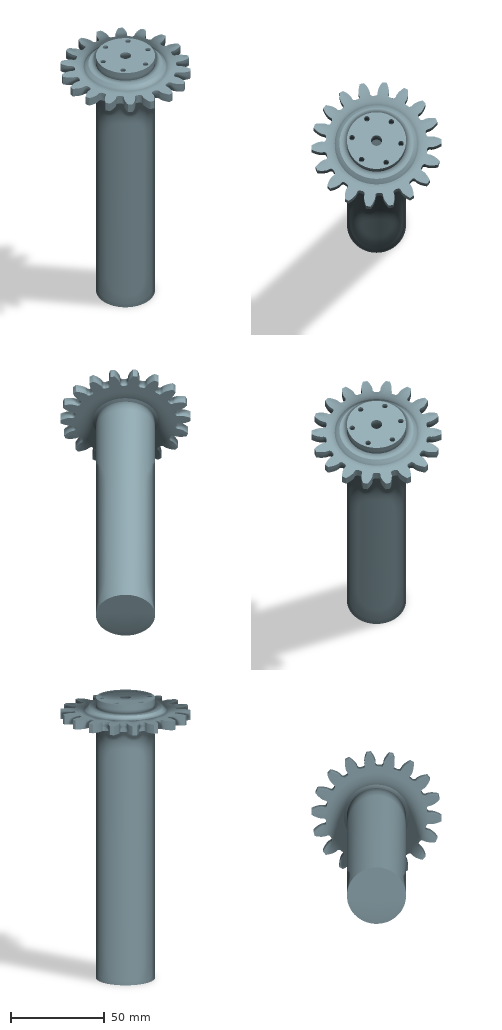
import cadquery as cq
import math

total_height = 156.0
shaft_diameter = 31.8

hub_height = 5.0
cone_height = 2.0
gear_thickness = 5.0
collar_height = 1.0
cone_top_diameter = 40.0
cone_base_diameter = 45.0
collar_top_diameter = 35.3

cone_top_z = total_height - hub_height
gear_top_z = cone_top_z - cone_height
gear_bottom_z = gear_top_z - gear_thickness
collar_bottom_z = gear_bottom_z - collar_height

tooth_count = 18
tip_diameter = 70.0
pressure_angle = math.radians(20)
dedendum_factor = 1.2
root_fillet_radius = 1.4
flank_point_count = 8

gear_module = tip_diameter / (tooth_count + 2)
tip_radius = tip_diameter / 2
pitch_radius = gear_module * tooth_count / 2
base_radius = pitch_radius * math.cos(pressure_angle)
root_radius = pitch_radius - dedendum_factor * gear_module
tooth_pitch_angle = 2 * math.pi / tooth_count

center_hole_diameter = 6.0
hole_depth = 7.8
bolt_hole_diameter = 3.0
bolt_circle_diameter = 26.5
bolt_hole_count = 6
first_bolt_hole_angle = 90


def involute(angle):
    return math.tan(angle) - angle


def polar(radius, angle):
    return (radius * math.cos(angle), radius * math.sin(angle))


def tooth_half_angle(radius):
    """Half the angle a tooth spans at a radius on its involute flank."""
    at_pitch = tooth_pitch_angle / 4
    return at_pitch + involute(pressure_angle) - involute(math.acos(base_radius / radius))


def flank(center_angle, side):
    """Points up one involute flank, from the base circle to the tip circle."""
    step = (tip_radius - base_radius) / (flank_point_count - 1)
    radii = [base_radius + i * step for i in range(flank_point_count - 1)] + [tip_radius]
    return [polar(r, center_angle + side * tooth_half_angle(r)) for r in radii]


def make_gear():
    base_half_angle = tooth_half_angle(base_radius)
    outline = cq.Workplane("XY").workplane(offset=gear_bottom_z)
    outline = outline.moveTo(*polar(root_radius, -base_half_angle))
    for tooth in range(tooth_count):
        center_angle = tooth * tooth_pitch_angle
        rising = flank(center_angle, -1)
        falling = flank(center_angle, 1)[::-1]
        gap_middle = polar(root_radius, center_angle + tooth_pitch_angle / 2)
        next_root = polar(root_radius, center_angle + tooth_pitch_angle - base_half_angle)
        outline = (
            outline.lineTo(*rising[0])
            .spline(rising[1:], includeCurrent=True)
            .threePointArc(polar(tip_radius, center_angle), falling[0])
            .spline(falling[1:], includeCurrent=True)
            .lineTo(*polar(root_radius, center_angle + base_half_angle))
            .threePointArc(gap_middle, next_root)
        )
    gear = outline.close().extrude(gear_thickness)

    def is_root_corner(edge):
        middle = edge.Center()
        return math.hypot(middle.x, middle.y) < (root_radius + base_radius) / 2

    root_corners = gear.edges("|Z").filter(is_root_corner)
    return root_corners.fillet(root_fillet_radius)


def make_shaft():
    """Shaft, tapered collar under the gear and cone above it, as one turned body."""
    shaft_radius = shaft_diameter / 2
    profile = [
        (0, 0),
        (shaft_radius, 0),
        (shaft_radius, collar_bottom_z),
        (collar_top_diameter / 2, gear_bottom_z),
        (cone_base_diameter / 2, gear_bottom_z),
        (cone_base_diameter / 2, gear_top_z),
        (cone_top_diameter / 2, cone_top_z),
        (shaft_radius, cone_top_z),
        (shaft_radius, total_height),
        (0, total_height),
    ]
    return cq.Workplane("XZ").polyline(profile).close().revolve(360, (0, 0, 0), (0, 1, 0))


def make_holes():
    top = cq.Workplane("XY").workplane(offset=total_height)
    center_hole = top.circle(center_hole_diameter / 2).extrude(-hole_depth)
    bolt_holes = (
        top.polarArray(bolt_circle_diameter / 2, first_bolt_hole_angle, 360, bolt_hole_count)
        .circle(bolt_hole_diameter / 2)
        .extrude(-hole_depth)
    )
    return center_hole.union(bolt_holes)


result = make_shaft().union(make_gear()).cut(make_holes())